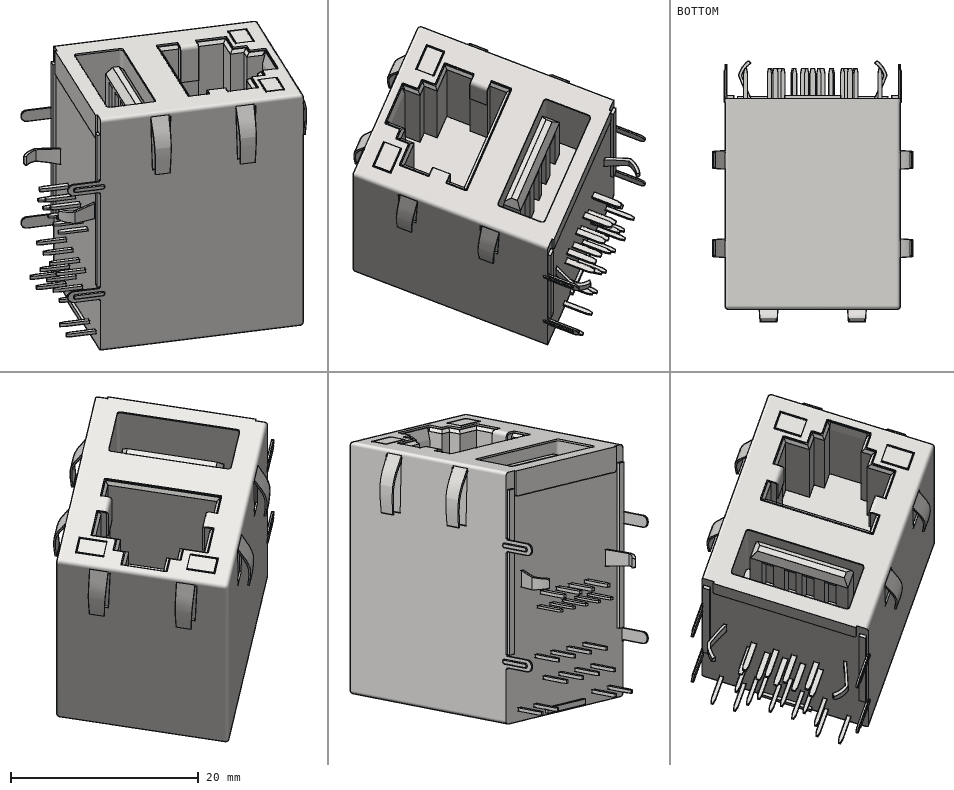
import cadquery as cq


width = 18.67
depth = 22.5
height = 27.5
sheet = 0.2
edge_radius = 0.4

flap_half_width = 8.02
flap_height = 2.78
flap_rise = 0.22
flap_corner = 0.28
rib_width = 0.75
rib_rise = 0.33
rib_bottom = 7.6
rib_top = 25.63
tab_half_width = 3.0
tab_bottom = 0.22
tab_top = 0.8

tail_width = 1.28
tail_length = 3.62
tail_heights = (6.85, 19.55)
tail_root_radius = 0.17
bead_start = 0.47
bead_length = 3.5
bead_width = 0.55
bead_rise = 0.1
bead_taper = 40.0

finger_spacing = 9.4
finger_root_width = 2.0
finger_tip_width = 1.61
finger_top = 27.13
finger_tip = 20.82
finger_sink = 0.1
finger_bow = (
    (0, finger_top), (0.5, 26.1), (1.0, 25.05), (1.3, 23.88),
    (1.34, 22.82), (1.28, 21.8), (1.2, finger_tip),
)
window_top = 26.88
window_gap = 0.22

rj_bottom = 10.52
rj_steps = ((6.35, 18.28), (3.67, 19.8), (2.5, 21.55))
rj_ledge = 0.125
rj_lead_in = 0.45
rj_lead_in_depth = 0.35
rj_key_lead_in_depth = 1.28
rj_depth = 13.92
rj_corner = 0.15

ground_tab_y = 13.9
ground_tab_width = 2.0
ground_tab_reach = 5.1
ground_tab_bend = 0.47
ground_tab_drop = 4.17

usb_half_width = 6.62
usb_front = 1.5
usb_back = 6.87
usb_corner = 0.33
usb_depth = 11.13
tongue_half_width = 5.48
tongue_front = 4.68
tongue_back = 6.6
tongue_top_gap = 1.22
tongue_bevel = 0.6
tongue_front_bevel_drop = 1.0
contact_places = (-3.5, -1.0, 1.0, 3.5)
contact_slot_width = 1.3
contact_slot_depth = 1.4
contact_slot_top_gap = 2.62

light_inner = 4.5
light_outer = 7.43
light_front = 18.87
light_back = 20.73
light_gap = 0.1
light_length = 2.78

pin_length = 3.2
pin_taper_length = 0.53
pin_taper = 0.1
pin_rows = (
    (13.53, 0.6, 0.35, contact_places),
    (12.02, 0.6, 0.25, (-3.98, -2.0, 0.0, 2.0, 3.98)),
    (6.7, 0.45, 0.35, (-4.45, -1.92, 0.65, 3.17)),
    (4.15, 0.45, 0.35, (-3.17, -0.65, 1.92, 4.45)),
    (1.34, 0.45, 0.35, (-7.15, -4.62, 4.62, 7.15)),
)

hook_z = 15.53
hook_seat = 0.83
hook_length = 4.0
hook_root_width = 1.8
hook_tip_width = 1.05
hook_tip_corner = 0.28
hook_outer = ((-6.9, 0), (-7.5, -1.4), (-7.9, -2.45), (-7.55, -3.28), (-6.85, -hook_length))
hook_inner = ((-6.57, 0), (-7.18, -1.4), (-7.57, -2.45), (-7.24, -3.12), (-6.57, -3.75))

half_width = width / 2
inner_half_width = half_width - sheet
under_top = height - sheet


def box(x0, x1, y0, y1, z0, z1):
    """A plain box between two opposite corners."""
    return cq.Workplane("XY").box(x1 - x0, y1 - y0, z1 - z0, centered=False).translate((x0, y0, z0))


def mirrored(shape):
    """The shape and its mirror image across X = 0."""
    return [shape, shape.mirror("YZ")]


def rounded_block(inset):
    """The shield's outline moved inwards, with every edge rounded but those of the board-side face."""
    block = box(inset - half_width, half_width - inset, inset, depth - inset, inset, height - inset)
    return block.edges("(not <Y)").fillet(edge_radius - inset)


def rj_outline(z, inset):
    """Workplane at height z with the stepped RJ45 outline, moved inwards by the inset."""
    right = [(rj_steps[0][0] - inset, rj_bottom + inset)]
    for step, (half, top) in enumerate(rj_steps):
        right.append((half - inset, top - inset))
        if step + 1 < len(rj_steps):
            right.append((rj_steps[step + 1][0] - inset, top - inset))
    left = [(-x, y) for x, y in reversed(right)]
    return cq.Workplane("XY").workplane(offset=z).polyline(right + left).close()


def ground_tab_band(x0, x1, z0, z1):
    """Box over the width of the right-hand grounding tab."""
    half = ground_tab_width / 2
    return box(x0, x1, ground_tab_y - half, ground_tab_y + half, z0, z1)


def ground_tab():
    """Right-hand sheet tab that bends down from the top sheet into the RJ45 socket."""
    tab = ground_tab_band(ground_tab_reach, rj_steps[0][0], height - ground_tab_drop, height)
    tab = tab.edges("|Y and <X and >Z").fillet(ground_tab_bend)
    below = ground_tab_band(ground_tab_reach + sheet, rj_steps[0][0], height - ground_tab_drop, under_top)
    below = below.edges("|Y and <X and >Z").fillet(ground_tab_bend - sheet)
    return tab.cut(below)


def rj_socket():
    """Space cut from the housing for the RJ45 plug, with its lead-in and grounding tabs."""
    lead_in_end = under_top - rj_lead_in_depth
    lead_in_wires = [rj_outline(lead_in_end, rj_lead_in).val(), rj_outline(under_top, rj_ledge).val()]
    lead_in = cq.Workplane(cq.Solid.makeLoft(lead_in_wires, True))
    socket = rj_outline(height - rj_depth, rj_lead_in).extrude(rj_depth - sheet).union(lead_in)

    key_half, key_top = rj_steps[-1]
    key_half -= rj_lead_in
    key_wedge = (
        cq.Workplane("YZ")
        .polyline([
            (key_top - rj_ledge, under_top),
            (key_top - rj_lead_in, under_top - rj_key_lead_in_depth),
            (key_top - 2 * rj_lead_in, under_top),
        ])
        .close()
        .extrude(key_half, both=True)
    )
    socket = socket.union(key_wedge)

    block = ground_tab_band(ground_tab_reach, half_width, 0, height).cut(ground_tab())
    block = block.cut(ground_tab_band(ground_tab_reach, ground_tab_reach + sheet, 0, height))
    for side in mirrored(block):
        socket = socket.cut(side)
    for tab in mirrored(ground_tab()):
        socket = socket.union(tab)
    return socket


def usb_socket():
    space = box(-usb_half_width, usb_half_width, usb_front, usb_back, height - usb_depth, height)
    return space.edges("|Z").fillet(usb_corner)


def make_tongue():
    """Tongue on the floor of the USB socket, bevelled at its tip and slotted for four contacts."""
    tip = height - tongue_top_gap
    floor = height - usb_depth
    front_bevel = tip - tongue_front_bevel_drop
    tongue = (
        cq.Workplane("YZ")
        .polyline([
            (tongue_front, floor),
            (tongue_front, front_bevel),
            (tongue_front + tongue_bevel, tip),
            (tongue_back - tongue_bevel, tip),
            (tongue_back, tip - tongue_bevel),
            (tongue_back, floor),
        ])
        .close()
        .extrude(tongue_half_width, both=True)
    )
    side_trim = (
        cq.Workplane("XZ")
        .polyline([
            (tongue_half_width, front_bevel),
            (tongue_half_width, tip),
            (tongue_half_width - tongue_bevel, tip),
        ])
        .close()
        .extrude(-depth)
    )
    for trim in mirrored(side_trim):
        tongue = tongue.cut(trim)
    half_slot = contact_slot_width / 2
    slot_top = height - contact_slot_top_gap
    for x in contact_places:
        slot_back = tongue_front + contact_slot_depth
        tongue = tongue.cut(box(x - half_slot, x + half_slot, tongue_front, slot_back, floor, slot_top))
    return tongue


def make_light():
    """Left-hand indicator light, flush with the top of the shield."""
    return box(-light_outer, -light_inner, light_front, light_back, height - light_length, height)


def light_window():
    """Opening in the top sheet, with a gap around the left-hand light except on its inner side."""
    return box(-light_outer - light_gap, -light_inner, light_front - light_gap, light_back + light_gap,
               under_top, height)


def make_pin(x, z, pin_width, thickness):
    """One pin with a tapered tip, rooted in the housing behind the shield's sheet."""
    half = pin_width / 2
    tip_half = half - pin_taper
    shoulder = pin_taper_length - pin_length
    return (
        cq.Workplane("XY")
        .polyline([
            (-half, sheet), (-half, shoulder), (-tip_half, -pin_length),
            (tip_half, -pin_length), (half, shoulder), (half, sheet),
        ])
        .close()
        .extrude(thickness)
        .translate((x, 0, z - thickness / 2))
    )


pins = [
    make_pin(x, z, pin_width, thickness)
    for z, pin_width, thickness, places in pin_rows
    for x in places
]


def make_hook():
    """Left-hand hook: a strip that bows outwards, turns back at its tip and narrows in Z."""
    strip = (
        cq.Workplane("XY")
        .moveTo(hook_outer[0][0], hook_seat)
        .lineTo(*hook_outer[0])
        .threePointArc(hook_outer[1], hook_outer[2])
        .threePointArc(hook_outer[3], hook_outer[4])
        .lineTo(*hook_inner[4])
        .threePointArc(hook_inner[3], hook_inner[2])
        .threePointArc(hook_inner[1], hook_inner[0])
        .lineTo(hook_inner[0][0], hook_seat)
        .close()
        .extrude(hook_root_width / 2, both=True)
        .translate((0, 0, hook_z))
    )
    root = hook_root_width / 2
    tip = hook_tip_width / 2
    taper = (
        cq.Workplane("YZ")
        .polyline([
            (hook_seat, -root), (hook_seat, root), (0, root),
            (-hook_length, tip), (-hook_length, -tip), (0, -root),
        ])
        .close()
        .extrude(-half_width)
        .edges("|X and <Y").fillet(hook_tip_corner)
        .translate((0, 0, hook_z))
    )
    return strip.intersect(taper)


def finger_width_outline(extra):
    """Tapered finger outline in a local YZ plane, widened on its +Y side by the extra."""
    root = finger_root_width / 2
    tip = finger_tip_width / 2
    return cq.Workplane("YZ").polyline([
        (-root, finger_top), (root + extra, finger_top),
        (tip + extra, finger_tip), (-tip, finger_tip),
    ]).close()


def finger():
    """Spring finger bowing out of a wall that lies at X = 0 and faces +X."""
    outer = finger_bow
    inner = [(x - sheet, z - finger_sink) for x, z in outer]
    inner[-1] = (inner[-1][0], finger_tip)
    strip = (
        cq.Workplane("XZ")
        .moveTo(*outer[0])
        .lineTo(*outer[1])
        .threePointArc(outer[2], outer[3])
        .threePointArc(outer[4], outer[5])
        .lineTo(*outer[6])
        .lineTo(*inner[6])
        .lineTo(*inner[5])
        .threePointArc(inner[4], inner[3])
        .threePointArc(inner[2], inner[1])
        .lineTo(*inner[0])
        .close()
        .extrude(finger_root_width, both=True)
    )
    return strip.intersect(finger_width_outline(0).extrude(width, both=True))


def finger_window():
    """Window in the wall behind a finger at X = 0."""
    window = finger_width_outline(window_gap).extrude(-sheet)
    return window.cut(box(-sheet, 0, -finger_root_width, finger_root_width, window_top, finger_top))


def at_finger_places(shape):
    """Copies of a wall-local shape for two fingers on each of the -X, +X and +Y walls."""
    copies = []
    for offset in (-finger_spacing / 2, finger_spacing / 2):
        copies += mirrored(shape.translate((half_width, depth / 2 + offset, 0)))
        copies.append(shape.rotate((0, 0, 0), (0, 0, 1), 90).translate((offset, depth, 0)))
    return copies


def solder_tail(z):
    """Right-hand solder tail continuing the shield wall, with a stiffening bead."""
    half = tail_width / 2
    root = half + tail_root_radius
    tail = (
        cq.Workplane("YZ")
        .moveTo(0, -root)
        .radiusArc((-tail_root_radius, -half), tail_root_radius)
        .lineTo(half - tail_length, -half)
        .threePointArc((-tail_length, 0), (half - tail_length, half))
        .lineTo(-tail_root_radius, half)
        .radiusArc((0, root), tail_root_radius)
        .close()
        .extrude(sheet)
        .translate((inner_half_width, 0, z))
    )
    bead = (
        cq.Workplane("YZ")
        .center(bead_start - bead_length / 2, 0)
        .slot2D(bead_length, bead_width)
        .extrude(bead_rise, taper=bead_taper)
        .translate((half_width, 0, z))
    )
    return tail.union(bead)


def make_shield():
    shield = rounded_block(0).cut(rounded_block(sheet))

    flap = box(-flap_half_width, flap_half_width, -flap_rise, 0, height - flap_height, height)
    shield = shield.union(flap.edges("|Y and <Z").fillet(flap_corner))
    shield = shield.union(box(-tab_half_width, tab_half_width, -rib_rise, 0, tab_bottom, tab_top))
    rib = box(inner_half_width - rib_width, inner_half_width, -rib_rise, 0, rib_bottom, rib_top)
    for side in mirrored(rib):
        shield = shield.union(side)
    for z in tail_heights:
        for tail in mirrored(solder_tail(z)):
            shield = shield.union(tail)

    for window in at_finger_places(finger_window()):
        shield = shield.cut(window)
    for spring in at_finger_places(finger()):
        shield = shield.union(spring)

    rj_opening = rj_outline(under_top, 0).extrude(sheet).edges("|Z").fillet(rj_corner)
    shield = shield.cut(rj_opening).cut(usb_socket())
    for window in mirrored(light_window()):
        shield = shield.cut(window)
    for tab in mirrored(ground_tab()):
        shield = shield.union(tab)

    for part in pins + hooks:
        shield = shield.cut(part)
    return shield


def make_housing():
    """Plastic block filling the shield, with its sockets and the pins that leave it."""
    housing = rounded_block(sheet).cut(rj_socket()).cut(usb_socket())
    for part in lights + hooks:
        housing = housing.cut(part)
    for pin in pins:
        housing = housing.union(pin)
    return housing


lights = mirrored(make_light())
hooks = mirrored(make_hook())
tongue = make_tongue()
shield = make_shield()
housing = make_housing()

result = cq.Compound.makeCompound([
    shield.val(),
    housing.val(),
    tongue.val(),
    *[light.val() for light in lights],
    *[hook.val() for hook in hooks],
])